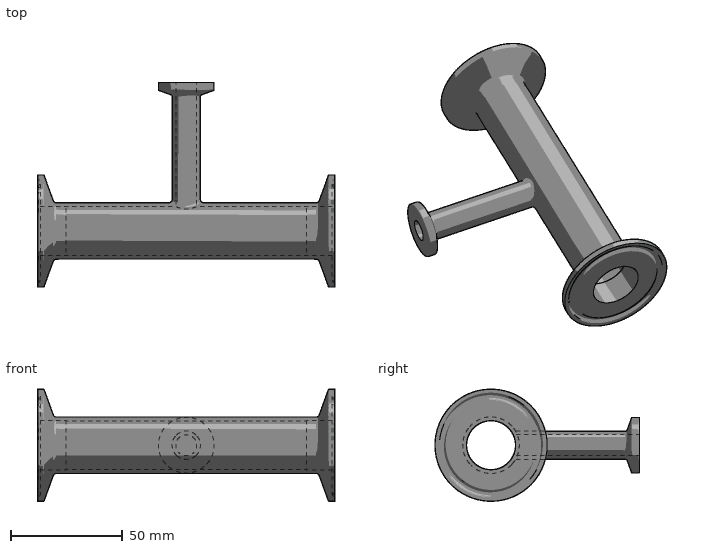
import cadquery as cq
import math

overall_length = 133.35
half_length = overall_length / 2
branch_length = half_length
ferrule_length = 12.7
cone_angle = math.radians(20)
rim_fillet = 0.5

run_diameter = 25.4
run_tube_bore = 21.89
run_ferrule_bore = 22.1
run_flange_diameter = 50.4
run_rim_thickness = 2.85
run_neck_fillet = 1.3

groove_diameter = 43.6
groove_depth = 1.2
groove_radius = 1.5
groove_edge_fillet = 0.5

branch_diameter = 12.7
branch_bore = 9.4
branch_flange_diameter = 25.0
branch_rim_thickness = 3.6
branch_neck_fillet = 0.8
branch_root_fillet = 1.5


pick_margin = 0.05


def edges_in_disc(radius, height):
    """Selector for edges that lie at one height along Z, within a radius of the Z axis."""
    reach = radius + pick_margin
    return cq.selectors.BoxSelector(
        (-reach, -reach, height - pick_margin), (reach, reach, height + pick_margin), boundingbox=True
    )


def make_ferrule(tube_diameter, flange_diameter, rim_thickness, neck_fillet):
    """Solid clamp ferrule: face on Z = 0, body extending along +Z."""
    tube_radius = tube_diameter / 2
    flange_radius = flange_diameter / 2
    neck_height = rim_thickness + (flange_radius - tube_radius) * math.tan(cone_angle)
    ferrule = (
        cq.Workplane("XZ")
        .moveTo(0, 0)
        .lineTo(flange_radius, 0)
        .lineTo(flange_radius, rim_thickness)
        .lineTo(tube_radius, neck_height)
        .lineTo(tube_radius, ferrule_length)
        .lineTo(0, ferrule_length)
        .close()
        .revolve(360, (0, 0, 0), (0, 1, 0))
    )
    ferrule = ferrule.edges(edges_in_disc(tube_radius, neck_height)).fillet(neck_fillet)
    return ferrule.edges(edges_in_disc(flange_radius, rim_thickness)).fillet(rim_fillet)


def cut_gasket_groove(ferrule):
    """Round-bottomed ring groove with rounded edges in the ferrule face."""
    ring = cq.Solid.makeTorus(
        groove_diameter / 2, groove_radius, cq.Vector(0, 0, groove_depth - groove_radius)
    )
    grooved = ferrule.cut(cq.Workplane(obj=ring))
    half_width = math.sqrt(groove_radius**2 - (groove_radius - groove_depth) ** 2)
    outer_edge_radius = groove_diameter / 2 + half_width
    return grooved.edges(edges_in_disc(outer_edge_radius, 0)).fillet(groove_edge_fillet)


def make_run_ferrule():
    """Main ferrule placed at the -X end, face looking toward -X."""
    ferrule = make_ferrule(run_diameter, run_flange_diameter, run_rim_thickness, run_neck_fillet)
    ferrule = cut_gasket_groove(ferrule)
    return ferrule.rotate((0, 0, 0), (0, 1, 0), 90).translate((-half_length, 0, 0))


def make_branch_ferrule():
    """Branch ferrule placed at the +Y end, face looking toward +Y."""
    ferrule = make_ferrule(
        branch_diameter, branch_flange_diameter, branch_rim_thickness, branch_neck_fillet
    )
    ferrule = ferrule.faces("<Z").edges().fillet(rim_fillet)
    return ferrule.rotate((0, 0, 0), (1, 0, 0), 90).translate((0, branch_length, 0))


def cylinder_along_x(diameter, length):
    """Cylinder on the X axis, centred on the origin."""
    return cq.Workplane("YZ").circle(diameter / 2).extrude(length / 2, both=True)


def cylinder_along_branch(diameter, length):
    """Cylinder from the origin along +Y."""
    return cq.Workplane("XZ").circle(diameter / 2).extrude(-length)


def make_tee_body():
    """Solid run and branch tubes with a fillet where they meet."""
    run = cylinder_along_x(run_diameter, overall_length - 2 * ferrule_length)
    branch = cylinder_along_branch(branch_diameter, branch_length - ferrule_length)
    joint_reach = run_diameter / 2 + pick_margin
    joint = cq.selectors.BoxSelector(
        (-joint_reach, 0, -joint_reach),
        (joint_reach, joint_reach, joint_reach),
        boundingbox=True,
    )
    return run.union(branch).edges(joint).fillet(branch_root_fillet)


left_ferrule = make_run_ferrule()
right_ferrule = left_ferrule.mirror("YZ")
body = make_tee_body().union(left_ferrule).union(right_ferrule).union(make_branch_ferrule())

run_tube_passage = cylinder_along_x(run_tube_bore, overall_length)
branch_passage = cylinder_along_branch(branch_bore, branch_length)
left_ferrule_passage = (
    cq.Workplane("YZ", origin=(-half_length, 0, 0)).circle(run_ferrule_bore / 2).extrude(ferrule_length)
)
right_ferrule_passage = left_ferrule_passage.mirror("YZ")

result = (
    body.cut(run_tube_passage)
    .cut(branch_passage)
    .cut(left_ferrule_passage)
    .cut(right_ferrule_passage)
)